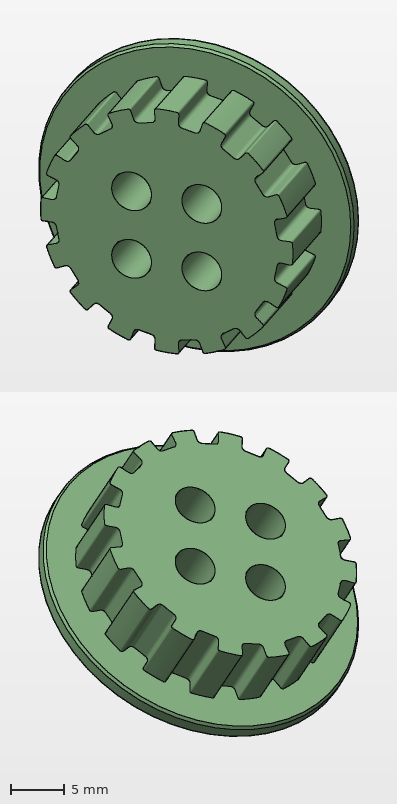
import cadquery as cq
import math

flange_diameter = 31.72
flange_thickness = 1.7
rim_bevel_depth = 0.3
rim_bevel_inset = 0.22

overall_length = 8.95
tooth_count = 16
tip_radius = 12.7
root_radius = 11.23
tooth_tip_width = 2.47
tooth_root_width = 2.3
tip_fillet = 0.22
root_fillet = 0.45
groove_overrun = 0.32

hole_diameter = 4.0
hole_circle_diameter = 10.0
hole_count = 4

hub_length = overall_length - flange_thickness
pitch_angle = 360.0 / tooth_count


def flange():
    """Disc on the Y axis from y = 0 to its back face, with both rims bevelled."""
    rim_radius = flange_diameter / 2
    face_radius = rim_radius - rim_bevel_inset
    half_section = [
        (0, 0),
        (face_radius, 0),
        (rim_radius, rim_bevel_depth),
        (rim_radius, flange_thickness - rim_bevel_depth),
        (face_radius, flange_thickness),
        (0, flange_thickness),
    ]
    return cq.Workplane("XY").polyline(half_section).close().revolve(360, (0, 0), (0, 1))


def groove_cutter():
    """Tapered, flat-floored gap between two neighbouring teeth, centred on the +Z direction."""
    half_pitch = math.radians(pitch_angle / 2)

    def corner(radius, tooth_width):
        angle = half_pitch - math.asin(tooth_width / 2 / radius)
        return radius * math.sin(angle), radius * math.cos(angle)

    root_x, root_z = corner(root_radius, tooth_root_width)
    tip_x, tip_z = corner(tip_radius, tooth_tip_width)
    clear_z = tip_radius + groove_overrun
    return (
        cq.Workplane("XZ")
        .moveTo(-root_x, root_z)
        .lineTo(root_x, root_z)
        .lineTo(tip_x, tip_z)
        .lineTo(tip_x, clear_z)
        .lineTo(-tip_x, clear_z)
        .lineTo(-tip_x, tip_z)
        .close()
        .extrude(hub_length)
    )


def toothed_hub():
    """Pulley hub running from y = 0 towards -Y, with a tooth centred on each axis."""
    hub = cq.Workplane("XZ").circle(tip_radius).extrude(hub_length)
    cutter = groove_cutter()
    for index in range(tooth_count):
        angle = (index + 0.5) * pitch_angle
        hub = hub.cut(cutter.rotate((0, 0, 0), (0, 1, 0), angle))

    middle_radius = (tip_radius + root_radius) / 2

    def edges_at(on_tip):
        lengthwise = hub.edges("|Y").vals()
        return [
            edge for edge in lengthwise
            if (math.hypot(edge.Center().x, edge.Center().z) > middle_radius) == on_tip
        ]

    hub = hub.newObject(edges_at(False)).fillet(root_fillet)
    return hub.newObject(edges_at(True)).fillet(tip_fillet)


def through_holes():
    """Four round holes on a bolt circle, turned 45 degrees from the axes."""
    return (
        cq.Workplane("XZ", origin=(0, flange_thickness, 0))
        .polarArray(hole_circle_diameter / 2, 45, 360, hole_count)
        .circle(hole_diameter / 2)
        .extrude(overall_length)
    )


result = flange().union(toothed_hub()).cut(through_holes())